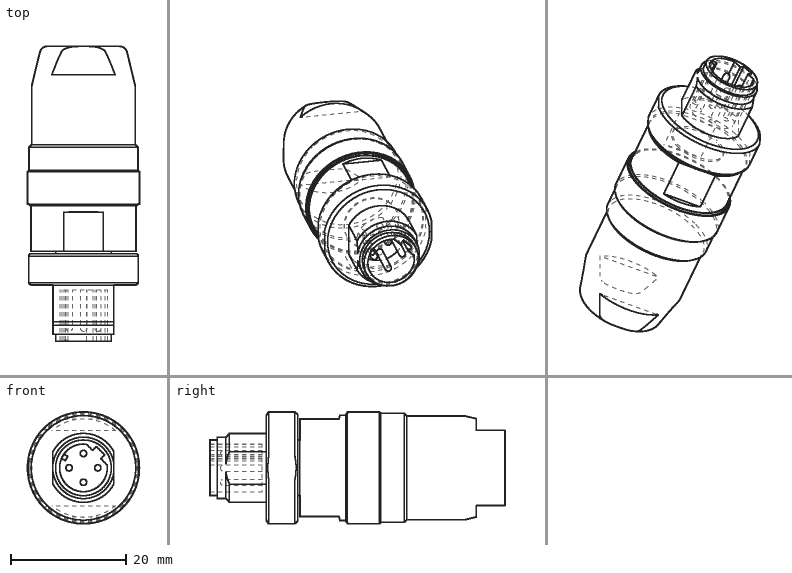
import cadquery as cq

nose_end = 1.25
thread_start = 2.8
thread_chamfer_end = 3.4
nut_front = 9.8
nut_rear = 15.3
body_front = 15.65
sleeve_front = 23.9
sleeve_rear = 29.5
ring_rear = 34.25
grip_rear = 44.35
tail_flat_start = 46.35
length = 51.35

nose_r = 4.85
runout_r = 5.35
thread_r = 6.0
neck_r = 4.85
nut_r = 9.75
body_r = 9.17
shoulder_r = 9.3
sleeve_r = 9.75
ring_r = 9.5
grip_r = 9.05
tail_r = 7.35

nut_front_chamfer = 0.42
nut_front_chamfer_radial = 0.65
nut_rear_chamfer = 0.5
ring_chamfer = ring_r - grip_r
sleeve_chamfer = sleeve_r - ring_r
shoulder_length = 0.3
tail_fillet = 1.35

thread_across_flats = 10.6
nut_across_flats = 19.1
body_across_flats = 17.0
tail_across_flats = 13.1
body_flat_end = 22.45
body_flat_end_slope = 0.15

socket_r = 4.15
socket_depth = 9.0
pad_distance = 3.27
pad_angle = 45
slot_width = 2.05
slot_distance = 4.2
key_angle = 151
key_width = 0.85
key_inner = 3.35
key_setback = 0.3
pin_r = 0.55
pin_circle_r = 2.5
pin_count = 4
pin_pitch_angle = 360 / pin_count
pin_setback = 1.8

cut_size = 30.0


def turned_shell():
    """Revolve the stepped outline, then round the tail rim."""
    outline = [
        (0, 0),
        (nose_r, 0),
        (nose_r, nose_end),
        (runout_r, nose_end),
        (runout_r, thread_start),
        (thread_r, thread_chamfer_end),
        (thread_r, nut_front),
        (nut_r - nut_front_chamfer_radial, nut_front),
        (nut_r, nut_front + nut_front_chamfer),
        (nut_r, nut_rear - nut_rear_chamfer),
        (nut_r - nut_rear_chamfer, nut_rear),
        (neck_r, nut_rear),
        (neck_r, body_front),
        (body_r, body_front),
        (body_r, sleeve_front - shoulder_length),
        (shoulder_r, sleeve_front - shoulder_length),
        (ring_r, sleeve_front),
        (sleeve_r, sleeve_front),
        (sleeve_r, sleeve_rear),
        (ring_r, sleeve_rear + sleeve_chamfer),
        (ring_r, ring_rear - ring_chamfer),
        (grip_r, ring_rear),
        (grip_r, grip_rear),
        (tail_r, length),
        (0, length),
    ]
    shell = cq.Workplane("XY").polyline(outline).close().revolve(360, (0, 0, 0), (0, 1, 0))
    return shell.faces(">Y").edges().fillet(tail_fillet)


def side_cutter(across_flats, y_start, y_end):
    """Block on the +X side whose inner face lies half the flat distance from the axis."""
    return (
        cq.Workplane("XY")
        .box(cut_size, y_end - y_start, cut_size, centered=(False, False, True))
        .translate((across_flats / 2, y_start, 0))
    )


def body_flat_cutter():
    """Cutter above the body flat, with a slightly sloped rear wall."""
    flat_z = body_across_flats / 2
    section = [
        (body_front, flat_z),
        (body_flat_end, flat_z),
        (body_flat_end + body_flat_end_slope, body_r),
        (body_front, body_r),
    ]
    return cq.Workplane("YZ").polyline(section).close().extrude(cut_size / 2, both=True)


def cut_pair(solid, cutter):
    """Remove the cutter and its copy turned half a revolution about the axis."""
    return solid.cut(cutter).cut(cutter.rotate((0, 0, 0), (0, 1, 0), 180))


def add_flats(solid):
    """Cut the paired flats on the thread, nut, body and tail."""
    solid = cut_pair(solid, side_cutter(thread_across_flats, 0, nut_front))
    solid = cut_pair(solid, side_cutter(nut_across_flats, nut_front, nut_rear))
    solid = cut_pair(solid, body_flat_cutter())
    tail_cutter = side_cutter(tail_across_flats, tail_flat_start, length)
    return cut_pair(solid, tail_cutter.rotate((0, 0, 0), (0, 1, 0), 90))


def turned_about_axis(solid, angle):
    """Turn a feature built on +X by an angle from +X towards +Z."""
    return solid.rotate((0, 0, 0), (0, 1, 0), -angle)


def radial_bar(inner, outer, width, y_start, y_end):
    """Rectangular bar along +X between two distances from the axis."""
    return (
        cq.Workplane("XY")
        .box(outer - inner, y_end - y_start, width, centered=(False, False, True))
        .translate((inner, y_start, 0))
    )


def socket():
    """Socket cavity with a flat coding pad, a slot in the pad and a small key."""
    cavity = cq.Workplane("XZ").circle(socket_r).extrude(-socket_depth)
    pad = radial_bar(pad_distance, socket_r, 2 * socket_r, 0, socket_depth)
    cavity = cavity.cut(turned_about_axis(pad, pad_angle))
    slot = radial_bar(0, slot_distance, slot_width, 0, socket_depth)
    cavity = cavity.union(turned_about_axis(slot, pad_angle))
    key = radial_bar(key_inner, socket_r, key_width, key_setback, socket_depth)
    return cavity.cut(turned_about_axis(key, key_angle))


def pin():
    """Contact pin on +X with a domed tip, standing on the socket floor."""
    shank = cq.Workplane("XZ").circle(pin_r).extrude(pin_setback + pin_r - socket_depth)
    tip = cq.Workplane("XY").sphere(pin_r)
    return shank.union(tip).translate((pin_circle_r, pin_setback + pin_r, 0))


result = add_flats(turned_shell()).cut(socket())
for index in range(pin_count):
    result = result.union(turned_about_axis(pin(), index * pin_pitch_angle))